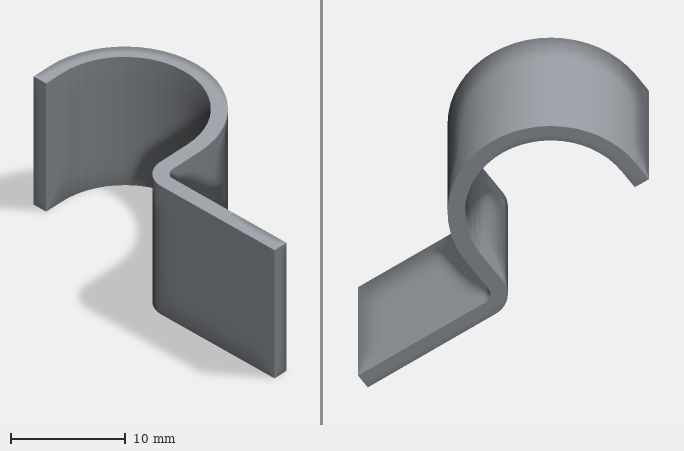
import cadquery as cq
import math

thickness = 1.5
width = 14.0
loop_radius = 9.0
free_leg = 2.0
bend_inner = 1.0
total_depth = 15.0
total_length = 32.5

bore_radius = loop_radius - thickness
bend_outer = bend_inner + thickness
flange_bottom = loop_radius - total_depth
flange_top = flange_bottom + thickness
flange_end = total_length - loop_radius
bend_x = bore_radius + bend_outer
bend_y = flange_bottom + bend_outer


def bend_midpoint(radius):
    """Point halfway round the quarter bend at the given radius."""
    offset = radius * math.sqrt(0.5)
    return (bend_x - offset, bend_y - offset)


def strip_profile():
    """Closed outline of the bent strip, starting at the tip of the free leg."""
    return (
        cq.Workplane("XY")
        .moveTo(-loop_radius, -free_leg)
        .lineTo(-loop_radius, 0)
        .threePointArc((0, loop_radius), (loop_radius, 0))
        .lineTo(loop_radius, bend_y)
        .threePointArc(bend_midpoint(bend_inner), (bend_x, flange_top))
        .lineTo(flange_end, flange_top)
        .lineTo(flange_end, flange_bottom)
        .lineTo(bend_x, flange_bottom)
        .threePointArc(bend_midpoint(bend_outer), (bore_radius, bend_y))
        .lineTo(bore_radius, 0)
        .threePointArc((0, bore_radius), (-bore_radius, 0))
        .lineTo(-bore_radius, -free_leg)
        .close()
    )


result = strip_profile().extrude(width)